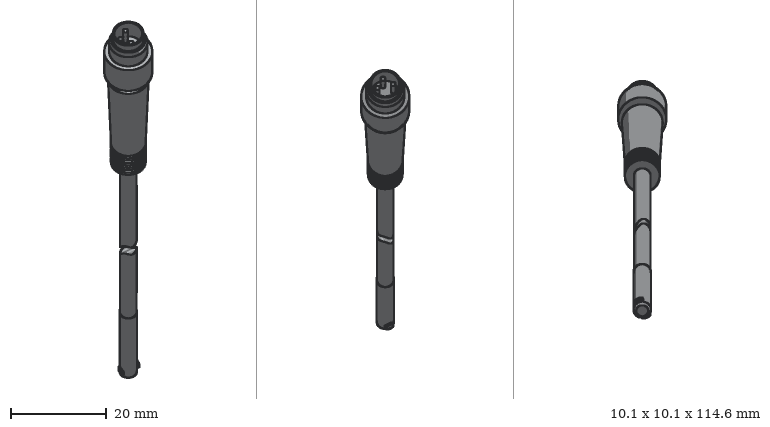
import cadquery as cq
import math

TOTAL_HEIGHT = 114.6
CABLE_DIAMETER = 3.5

COLLAR_CONE_TOP = 112.8
COLLAR_CONE_BOTTOM = 111.8
NUT_TOP = 108.7
NUT_BOTTOM = 101.7
GRIP_TOP = 99.7
GRIP_BOTTOM = 78.0
SLEEVE_DIAMETER = 6.4
CONE_TOP_DIAMETER = 7.2
COLLAR_DIAMETER = 8.0
NUT_DIAMETER = 10.1
GRIP_TOP_DIAMETER = 8.6
GRIP_BOTTOM_DIAMETER = 7.3

SOCKET_DIAMETER = 5.8
SOCKET_DEPTH = 4.6
PIN_DIAMETER = 1.0
PIN_LENGTH = 3.5
PIN_CIRCLE_RADIUS = 1.7
PIN_ANGLES = (-10, -100, -190)

RING_COUNT = 4
RING_THICKNESS = 0.8
RING_PITCH = 1.6
FIRST_RING_TOP = GRIP_BOTTOM - RING_PITCH + RING_THICKNESS

BREAK_MIDDLE = 43.7
BREAK_AMPLITUDE = 1.1
BREAK_CREST_X = 1.3
BREAK_END_DROP = 0.5
BREAK_GAP = 2.4

SENSOR_TOP = 20.6
SENSOR_DIAMETER = 3.7
TIP_CHAMFER = 0.6
LENS_DIAMETER = 1.8
LENS_HEIGHT = 1.8
LENS_FRONT_PROJECTION = 0.06
LENS_REAR_PROJECTION = 0.3
LENS_HOLE_DIAMETER = 1.0
LENS_HOLE_DEPTH = 0.3


def cylinder(diameter, bottom, top):
    return cq.Workplane("XY").workplane(offset=bottom).circle(diameter / 2).extrude(top - bottom)


def below_break(offset):
    """Block that fills everything under the wavy break surface, shifted by offset in Z."""
    half_width = CABLE_DIAMETER
    edge_x = CABLE_DIAMETER / 2
    middle = BREAK_MIDDLE + offset
    crest = middle + BREAK_AMPLITUDE
    trough = middle - BREAK_AMPLITUDE
    wave = [
        (-BREAK_CREST_X, trough),
        (0, middle),
        (BREAK_CREST_X, crest),
        (edge_x, crest - BREAK_END_DROP),
    ]
    return (
        cq.Workplane("XZ")
        .moveTo(-half_width, 0)
        .lineTo(-half_width, trough + BREAK_END_DROP)
        .lineTo(-edge_x, trough + BREAK_END_DROP)
        .spline(wave, includeCurrent=True)
        .lineTo(half_width, crest - BREAK_END_DROP)
        .lineTo(half_width, 0)
        .close()
        .extrude(half_width, both=True)
    )


def plug_shell():
    """Turned outline of the sleeve, collar, nut, neck and tapered grip."""
    outline = [
        (0, TOTAL_HEIGHT),
        (SLEEVE_DIAMETER / 2, TOTAL_HEIGHT),
        (SLEEVE_DIAMETER / 2, COLLAR_CONE_TOP),
        (CONE_TOP_DIAMETER / 2, COLLAR_CONE_TOP),
        (COLLAR_DIAMETER / 2, COLLAR_CONE_BOTTOM),
        (COLLAR_DIAMETER / 2, NUT_TOP),
        (NUT_DIAMETER / 2, NUT_TOP),
        (NUT_DIAMETER / 2, NUT_BOTTOM),
        (SLEEVE_DIAMETER / 2, NUT_BOTTOM),
        (SLEEVE_DIAMETER / 2, GRIP_TOP),
        (GRIP_TOP_DIAMETER / 2, GRIP_TOP),
        (GRIP_BOTTOM_DIAMETER / 2, GRIP_BOTTOM),
        (0, GRIP_BOTTOM),
    ]
    return cq.Workplane("XZ").polyline(outline).close().revolve(360, (0, 0), (0, 1))


def make_plug():
    """Plug with its contact pins, strain relief and upper piece of cable."""
    socket_floor = TOTAL_HEIGHT - SOCKET_DEPTH
    plug = plug_shell().cut(cylinder(SOCKET_DIAMETER, socket_floor, TOTAL_HEIGHT))
    for angle in PIN_ANGLES:
        x = PIN_CIRCLE_RADIUS * math.cos(math.radians(angle))
        y = PIN_CIRCLE_RADIUS * math.sin(math.radians(angle))
        pin = cylinder(PIN_DIAMETER, socket_floor, socket_floor + PIN_LENGTH)
        plug = plug.union(pin.translate((x, y, 0)))
    for index in range(RING_COUNT):
        ring_top = FIRST_RING_TOP - index * RING_PITCH
        plug = plug.union(cylinder(GRIP_BOTTOM_DIAMETER, ring_top - RING_THICKNESS, ring_top))
    cable = cylinder(CABLE_DIAMETER, BREAK_MIDDLE - BREAK_GAP, GRIP_BOTTOM)
    return plug.union(cable.cut(below_break(0)))


def make_sensor():
    """Lower piece of cable with the sensor sleeve and the lens across its tip."""
    cable = cylinder(CABLE_DIAMETER, SENSOR_TOP, BREAK_MIDDLE)
    cable = cable.intersect(below_break(-BREAK_GAP))
    sleeve = cylinder(SENSOR_DIAMETER, 0, SENSOR_TOP).faces("<Z").chamfer(TIP_CHAMFER)
    front_y = -SENSOR_DIAMETER / 2 - LENS_FRONT_PROJECTION
    lens_plane = cq.Workplane("XZ", origin=(0, front_y, LENS_HEIGHT))
    lens_length = LENS_FRONT_PROJECTION + SENSOR_DIAMETER + LENS_REAR_PROJECTION
    lens = lens_plane.circle(LENS_DIAMETER / 2).extrude(-lens_length)
    hole = lens_plane.circle(LENS_HOLE_DIAMETER / 2).extrude(-LENS_HOLE_DEPTH)
    return cable.union(sleeve).union(lens).cut(hole)


plug = make_plug()
sensor = make_sensor()
result = cq.Compound.makeCompound([plug.val(), sensor.val()])